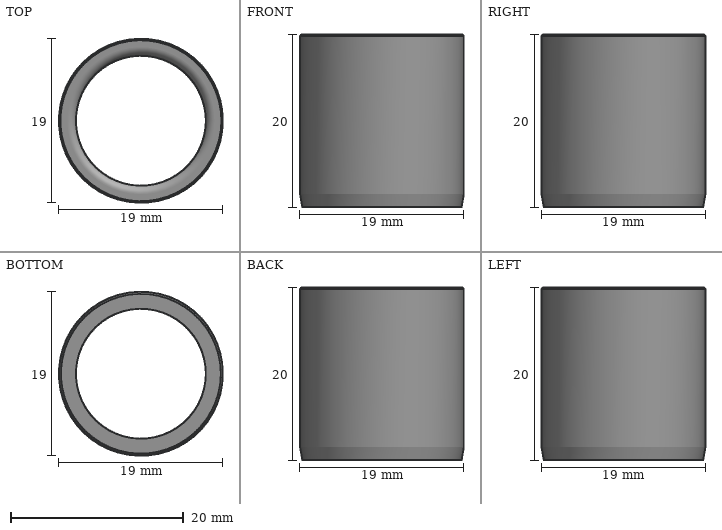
import cadquery as cq
import math

height = 20
outer_diameter = 19
bore_diameter = 15

entry_radius = 1
top_chamfer = 0.2
lead_in_height = 1.5
lead_in_angle = 10

outer_radius = outer_diameter / 2
bore_radius = bore_diameter / 2
lead_in_inset = lead_in_height * math.tan(math.radians(lead_in_angle))

arc_offset = entry_radius * math.sin(math.radians(45))
arc_center_r = bore_radius + entry_radius
arc_center_z = height - entry_radius

half_section = (
    cq.Workplane("XZ")
    .moveTo(bore_radius, 0)
    .lineTo(outer_radius - lead_in_inset, 0)
    .lineTo(outer_radius, lead_in_height)
    .lineTo(outer_radius, height - top_chamfer)
    .lineTo(outer_radius - top_chamfer, height)
    .lineTo(arc_center_r, height)
    .threePointArc(
        (arc_center_r - arc_offset, arc_center_z + arc_offset),
        (bore_radius, arc_center_z),
    )
    .close()
)

result = half_section.revolve(360, (0, 0, 0), (0, 1, 0))